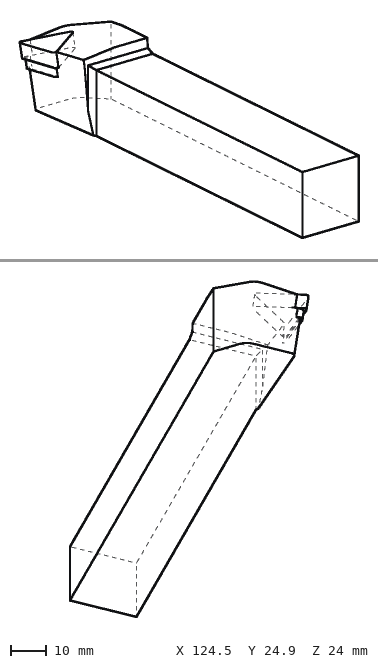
import cadquery as cq
import math


overall_length = 125.0
shank_size = 20.0
back_y = 25.0
shank_start_x = 30.0

head_height = 24.0
head_end_x = 27.75
head_end_lean = 0.3
neck_rise = 1.0
neck_flare = 1.15
nose_x = 1.7
back_corner_x = 10.9
front_inset = 0.93
front_corner_radius = 1.2
bevel_corner_radius = 5.0

rake_slope = math.tan(math.radians(5.6))

insert_side = 16.5
insert_thickness = 4.76
insert_nose_radius = 0.8
edge_angle = 3.0
seat_inset = 0.35
seat_thickness = 3.0
seat_corner_radius = 1.1

margin = 10.0

rake_plane = cq.Plane(
    origin=(0, 0, shank_size),
    xDir=(1, 0, rake_slope),
    normal=(-rake_slope, -rake_slope, 1),
)


def triangle_prism(inset, corner_radius, top_depth, thickness):
    """Rounded triangle parallel to the insert outline, square to the rake plane."""
    side = insert_side - 2 * math.sqrt(3) * inset
    corner_angle = math.radians(edge_angle + 30)
    corner = (2 * inset * math.cos(corner_angle), 2 * inset * math.sin(corner_angle))
    points = [corner]
    for angle in (edge_angle, edge_angle + 60):
        direction = math.radians(angle)
        points.append((corner[0] + side * math.cos(direction), corner[1] + side * math.sin(direction)))
    return (
        cq.Workplane(rake_plane)
        .workplane(offset=-top_depth)
        .polyline(points)
        .close()
        .extrude(-thickness)
        .edges("|(%f, %f, 1)" % (-rake_slope, -rake_slope))
        .fillet(corner_radius)
    )


def head_prism():
    """Head outline drawn on the rake plane and carried down square to it."""
    edge_slope = math.tan(math.radians(edge_angle))
    front_offset = front_inset / math.cos(math.radians(edge_angle))
    far_x = shank_start_x + margin
    far_y = back_y + margin
    bevel_shift = back_y - back_corner_x
    front_corner = (nose_x, front_offset + nose_x * edge_slope)
    bevel_corner = (nose_x, nose_x + bevel_shift)
    outline = [
        front_corner,
        (far_x, front_offset + far_x * edge_slope),
        (far_x, far_y),
        (far_y - bevel_shift, far_y),
        bevel_corner,
    ]
    prism = cq.Workplane(rake_plane).polyline(outline).close().extrude(-(head_height + margin))

    def upright_edge(corner):
        corner_point = rake_plane.toWorldCoords(corner)
        middle = corner_point - rake_plane.zDir * ((head_height + margin) / 2)
        return cq.selectors.NearestToPointSelector(middle.toTuple())

    prism = prism.edges(upright_edge(front_corner)).fillet(front_corner_radius)
    return prism.edges(upright_edge(bevel_corner)).fillet(bevel_corner_radius)


def head_envelope():
    """Limits of the head: base, flat top, back, rear step and flared neck."""
    shank_front_y = back_y - shank_size
    plan = (
        cq.Workplane("XY")
        .polyline([
            (-margin, -margin),
            (head_end_x, -margin),
            (head_end_x, shank_front_y - neck_flare),
            (shank_start_x, shank_front_y),
            (shank_start_x, back_y),
            (-margin, back_y),
        ])
        .close()
        .extrude(head_height)
    )
    profile = (
        cq.Workplane("XZ", origin=(0, back_y, 0))
        .polyline([
            (-margin, 0),
            (shank_start_x, 0),
            (shank_start_x, shank_size),
            (head_end_x, shank_size + neck_rise),
            (head_end_x - head_end_lean, head_height),
            (-margin, head_height),
        ])
        .close()
        .extrude(back_y + margin)
    )
    return plan.intersect(profile)


def make_insert():
    return triangle_prism(0, insert_nose_radius, 0, insert_thickness)


def make_holder():
    shank = cq.Workplane("XY").box(
        overall_length - shank_start_x, shank_size, shank_size, centered=False
    ).translate((shank_start_x, back_y - shank_size, 0))
    seat = triangle_prism(seat_inset, seat_corner_radius, insert_thickness, seat_thickness)
    head = head_prism().intersect(head_envelope())
    return head.union(shank).union(seat).cut(make_insert())


insert = make_insert()
holder = make_holder()

result = cq.Compound.makeCompound([holder.val(), insert.val()])